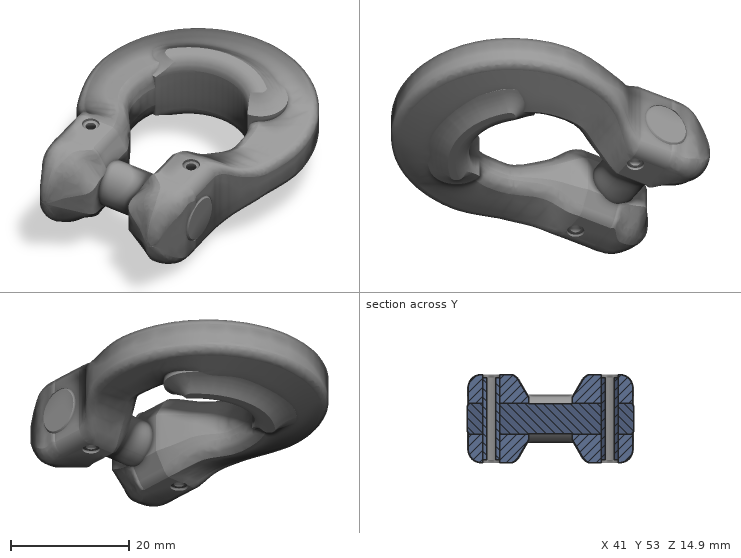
import cadquery as cq
import math


BOW_OUTER_RADIUS = 20.45
BOW_OUTER_CENTRE_Y = 22.1
BOW_INNER_RADIUS = 10.1
BOW_INNER_CENTRE_Y = 18.85
BOW_OUTER_HEIGHT = 3.35
BOW_INNER_HEIGHT = 5.35
BOW_OUTER_ROUND = (1.45, 1.4)
BOW_INNER_ROUND = (2.05, 3.45)

FLAT_HEIGHT = 3.2
STEP_HEIGHT = 4.35
STEP_ANGLE = 147
FLAT_INNER_ROUND = (2.05, 2.4)

SADDLE_HEIGHT = 6.5
SADDLE_INNER_RADIUS = 10.05
SADDLE_INNER_ROUND = (2.2, 2.55)
SADDLE_CREST_RADIUS = 13.6
SADDLE_FOOT_WIDTH = 3.6
SADDLE_FOOT_HEIGHT = 4.3
SADDLE_FLANK_MIDDLE = (1.6, 5.2)
SADDLE_HALF_ANGLE = 45
SADDLE_END_RADIUS = 1.05

EAR_OUTER_X = 13.95
EAR_INNER_X = 3.6
EAR_HEIGHT = 7.45
EAR_OUTER_ROUND = (2.55, 1.85)
EAR_INNER_ROUND = (2.8, 3.95)
EAR_TOP_Y = 5.05
EAR_STRAIGHT_END_Y = -1.05
EAR_END_Y = -10.45
EAR_CENTRE_Y = EAR_END_Y + EAR_HEIGHT

PIN_RADIUS = 4.1
PIN_HALF_LENGTH = 14.15
PIN_CHAMFER = 0.3

SPRING_PIN_X = 10.0
SPRING_PIN_PLACES = (-SPRING_PIN_X, SPRING_PIN_X)
SPRING_PIN_Y = 3.7
SPRING_PIN_RADIUS = 1.5
SPRING_PIN_BORE_RADIUS = 0.9
SPRING_PIN_RECESS = 0.5
SPRING_PIN_LENGTH = 2 * (EAR_HEIGHT - SPRING_PIN_RECESS)

BULGE = math.sqrt(2) - 1

BOW_SLANT = (0.1, 0.3)
EAR_SLANT = (0.55, 0.66)


def below(point):
    """The same section point mirrored to the underside."""
    return (point[0], -point[1])


def corner_middle(start, end, corner):
    """Middle point of the arc that rounds a corner from start to end."""
    return tuple((1 - BULGE) * (a + b) / 2 + BULGE * c for a, b, c in zip(start, end, corner))


def section(outer, inner, heights, outer_round, inner_round, slant):
    """Upright cross-section between an outer and an inner plan point, symmetric about Z = 0.

    heights are the outer and inner half thicknesses; each round is (width, drop).
    slant gives the shares of the inner round's width and drop that are straight.
    """
    width = math.dist(outer, inner)
    outer_wall = (0, heights[0] - outer_round[1])
    outer_top = (outer_round[0], heights[0])
    outer_middle = corner_middle(outer_wall, outer_top, (0, heights[0]))
    inner_top = (width - inner_round[0], heights[1])
    inner_wall = (width, heights[1] - inner_round[1])
    slant_width = slant[0] * inner_round[0]
    slant_top = (width - slant_width, inner_wall[1] + slant[1] * inner_round[1])
    slant_corner = (width - slant_width / slant[1], heights[1])
    inner_middle = corner_middle(inner_top, slant_top, slant_corner)

    across = cq.Vector(inner[0] - outer[0], inner[1] - outer[1], 0)
    plane = cq.Plane((outer[0], outer[1], 0), across, across.cross(cq.Vector(0, 0, 1)))
    return (
        cq.Workplane(plane)
        .moveTo(*below(outer_wall))
        .lineTo(*outer_wall)
        .threePointArc(outer_middle, outer_top)
        .lineTo(*inner_top)
        .threePointArc(inner_middle, slant_top)
        .lineTo(*inner_wall)
        .lineTo(*below(inner_wall))
        .lineTo(*below(slant_top))
        .threePointArc(below(inner_middle), below(inner_top))
        .lineTo(*below(outer_top))
        .threePointArc(below(outer_middle), below(outer_wall))
        .close()
        .val()
    )


def polar(radius, centre_y, angle):
    return (
        radius * math.cos(math.radians(angle)),
        centre_y + radius * math.sin(math.radians(angle)),
    )


def ear_section(y):
    return section(
        (-EAR_OUTER_X, y),
        (-EAR_INNER_X, y),
        (EAR_HEIGHT, EAR_HEIGHT),
        EAR_OUTER_ROUND,
        EAR_INNER_ROUND,
        EAR_SLANT,
    )


def ring_section(angle, inner_height, inner_round):
    """Section of the eccentric ring; the angle is measured from +X."""
    return section(
        polar(BOW_OUTER_RADIUS, BOW_OUTER_CENTRE_Y, angle),
        polar(BOW_INNER_RADIUS, BOW_INNER_CENTRE_Y, angle),
        (BOW_OUTER_HEIGHT, inner_height),
        BOW_OUTER_ROUND,
        inner_round,
        BOW_SLANT,
    )


def sloped_side():
    """Sections of the -X side, whose faces slope up to the opening all the way to the ear."""
    ring = [ring_section(a, BOW_INNER_HEIGHT, BOW_INNER_ROUND) for a in (115, 140, 165, 185, 205)]
    arm = [
        section((-16.85, 10.15), (-6.9, 11.4), (4.0, 5.55), (1.7, 1.4), (2.2, 3.6), (0.2, 0.4)),
        section((-15.1, 7.95), (-5.15, 8.2), (5.4, 6.5), (2.0, 1.6), (2.45, 3.7), (0.35, 0.5)),
        section((-14.2, 6.2), (-4.1, 6.2), (6.9, 7.2), (2.45, 1.8), (2.65, 3.9), (0.5, 0.6)),
    ]
    return ring + arm + [ear_section(EAR_TOP_Y)]


def flat_side():
    """Sections of the +X side, which levels off below the saddle and then steps up to the ear.

    They are placed on the -X side and mirrored.
    """
    ring = [ring_section(a, BOW_INNER_HEIGHT, BOW_INNER_ROUND) for a in (112, 134)]
    ring.append(ring_section(STEP_ANGLE, STEP_HEIGHT, BOW_INNER_ROUND))
    ring += [ring_section(a, FLAT_HEIGHT, FLAT_INNER_ROUND) for a in (158, 170, 185, 203)]
    arm = [
        section((-18.0, 12.1), (-7.5, 12.1), (3.75, 3.75), (1.6, 1.4), (2.1, 2.55), (0.15, 0.35)),
        section((-16.35, 9.55), (-5.95, 9.55), (4.9, 4.9), (1.8, 1.5), (2.35, 2.95), (0.25, 0.4)),
        section((-15.0, 7.8), (-4.95, 7.8), (6.25, 6.25), (2.1, 1.7), (2.55, 3.6), (0.4, 0.5)),
        section((-14.2, 6.2), (-4.1, 6.2), (7.2, 7.2), (2.45, 1.8), (2.65, 3.9), (0.5, 0.6)),
    ]
    return [wire.mirror("YZ") for wire in ring + arm + [ear_section(EAR_TOP_Y)]]


def make_bow():
    """Loft from the top of one ear round the crown to the top of the other."""
    crown = ring_section(90, BOW_INNER_HEIGHT, BOW_INNER_ROUND)
    return cq.Workplane(cq.Solid.makeLoft(sloped_side()[::-1] + [crown] + flat_side()))


def make_ear():
    """The -X ear: straight beside the pin, then a half-round end that tapers to a blunt tip."""
    straight = cq.Solid.makeLoft([ear_section(EAR_TOP_Y), ear_section(EAR_STRAIGHT_END_Y)])
    end_stations = [
        (0, -13.95, -11.4, -7.75, -3.6, 0.25, 0.55),
        (10, -13.9, -11.1, -8.8, -3.55, 0.25, 0.57),
        (20, -13.7, -10.85, -9.15, -3.5, 0.30, 0.60),
        (30, -13.25, -10.65, -9.5, -4.1, 0.36, 0.65),
        (40, -12.7, -10.5, -9.7, -5.7, 0.44, 0.70),
        (50, -12.3, -10.4, -9.8, -7.35, 0.58, 0.75),
        (60, -11.9, -10.35, -9.85, -8.4, 0.75, 0.80),
        (70, -11.5, -10.35, -9.9, -9.15, 0.85, 0.85),
        (80, -10.9, -10.35, -10.0, -9.75, 0.85, 0.85),
        (86, -10.6, -10.35, -10.1, -10.0, 0.85, 0.85),
    ]
    end = [ear_section(EAR_STRAIGHT_END_Y)]
    for angle, outer_x, outer_top_x, inner_top_x, inner_x, outer_share, inner_share in end_stations:
        y = EAR_CENTRE_Y - EAR_HEIGHT * math.sin(math.radians(angle))
        height = EAR_HEIGHT * math.cos(math.radians(angle))
        outer_round = (outer_top_x - outer_x, outer_share * height)
        inner_round = (inner_x - inner_top_x, inner_share * height)
        heights = (height, height)
        end.append(section((outer_x, y), (inner_x, y), heights, outer_round, inner_round, EAR_SLANT))
    return cq.Workplane(straight).union(cq.Workplane(cq.Solid.makeLoft(end)))


def make_saddle():
    """A seat swept round the crown, with a half-conical foot at each end."""
    inner_wall = (SADDLE_INNER_RADIUS, SADDLE_HEIGHT - SADDLE_INNER_ROUND[1])
    inner_top = (SADDLE_INNER_RADIUS + SADDLE_INNER_ROUND[0], SADDLE_HEIGHT)
    inner_corner = (SADDLE_INNER_RADIUS, SADDLE_HEIGHT)
    inner_middle = corner_middle(inner_wall, inner_top, inner_corner)
    crest = (SADDLE_CREST_RADIUS, SADDLE_HEIGHT)
    flank = (SADDLE_CREST_RADIUS + SADDLE_FLANK_MIDDLE[0], SADDLE_FLANK_MIDDLE[1])
    foot = (SADDLE_CREST_RADIUS + SADDLE_FOOT_WIDTH, SADDLE_FOOT_HEIGHT)
    seat = (
        cq.Workplane("XZ")
        .moveTo(SADDLE_INNER_RADIUS, -SADDLE_HEIGHT)
        .lineTo(SADDLE_INNER_RADIUS, SADDLE_HEIGHT)
        .lineTo(*crest)
        .threePointArc(flank, foot)
        .lineTo(*below(foot))
        .threePointArc(below(flank), below(crest))
        .close()
        .revolve(2 * SADDLE_HALF_ANGLE, (0, 0, 0), (0, 1, 0))
        .rotate((0, 0, 0), (0, 0, 1), 90 - SADDLE_HALF_ANGLE)
    )
    end_axis_radius = SADDLE_CREST_RADIUS - SADDLE_END_RADIUS
    end_foot = (
        cq.Workplane("XZ")
        .moveTo(end_axis_radius, -SADDLE_HEIGHT)
        .lineTo(end_axis_radius, SADDLE_HEIGHT)
        .lineTo(*crest)
        .threePointArc(flank, foot)
        .lineTo(*below(foot))
        .threePointArc(below(flank), below(crest))
        .close()
        .revolve(360, (end_axis_radius, 0, 0), (end_axis_radius, 1, 0))
    )
    for angle in (90 - SADDLE_HALF_ANGLE, 90 + SADDLE_HALF_ANGLE):
        seat = seat.union(end_foot.rotate((0, 0, 0), (0, 0, 1), angle))
    rounded_opening = (
        cq.Workplane("XZ")
        .moveTo(0, -SADDLE_HEIGHT)
        .lineTo(inner_top[0], -SADDLE_HEIGHT)
        .threePointArc(below(inner_middle), below(inner_wall))
        .lineTo(*inner_wall)
        .threePointArc(inner_middle, inner_top)
        .lineTo(0, SADDLE_HEIGHT)
        .close()
        .revolve(360, (0, 0, 0), (0, 1, 0))
    )
    return seat.cut(rounded_opening).translate((0, BOW_INNER_CENTRE_Y, 0))


def make_load_pin_blank():
    return cq.Workplane("YZ").circle(PIN_RADIUS).extrude(PIN_HALF_LENGTH, both=True)


def spring_pin_bore(x):
    """Cylinder right through an ear, as wide as the spring pin."""
    return (
        cq.Workplane("XY")
        .center(x, SPRING_PIN_Y)
        .circle(SPRING_PIN_RADIUS)
        .extrude(2 * EAR_HEIGHT, both=True)
    )


def make_shackle():
    ear = make_ear()
    shackle = make_bow().union(ear).union(ear.mirror("YZ")).union(make_saddle())
    shackle = shackle.cut(make_load_pin_blank())
    for x in SPRING_PIN_PLACES:
        shackle = shackle.cut(spring_pin_bore(x))
    return shackle


def make_load_pin():
    """Round pin with chamfered ends, notched where the spring pins pass."""
    pin = make_load_pin_blank().faces("<X or >X").chamfer(PIN_CHAMFER)
    for x in SPRING_PIN_PLACES:
        pin = pin.cut(spring_pin_bore(x))
    return pin


def make_spring_pin(x):
    return (
        cq.Workplane("XY", origin=(x, SPRING_PIN_Y, -SPRING_PIN_LENGTH / 2))
        .circle(SPRING_PIN_RADIUS)
        .circle(SPRING_PIN_BORE_RADIUS)
        .extrude(SPRING_PIN_LENGTH)
    )


shackle = make_shackle()
load_pin = make_load_pin()
spring_pins = [make_spring_pin(x) for x in SPRING_PIN_PLACES]

result = cq.Compound.makeCompound(
    [shackle.val(), load_pin.val(), *(pin.val() for pin in spring_pins)]
)